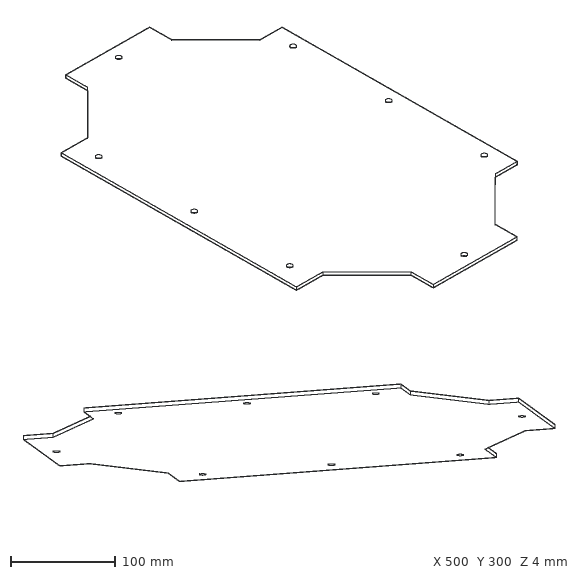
import cadquery as cq

length = 500.0
width = 300.0
thickness = 4.0

tab_depth = 30.0
front_tab_depth = 36.0
corner_leg = 60.0

hole_diameter = 6.5
hole_edge_distance = 15.0
hole_spacing = 130.0

half_length = length / 2
back = width / 2
front = -width / 2
end_shoulder = half_length - tab_depth
long_tab_half = end_shoulder - corner_leg
back_shoulder = back - tab_depth
front_shoulder = front + front_tab_depth
end_tab_back = back_shoulder - corner_leg
end_tab_front = front_shoulder + corner_leg

right_side = [
    (long_tab_half, front),
    (long_tab_half, front_shoulder),
    (end_shoulder, end_tab_front),
    (half_length, end_tab_front),
    (half_length, end_tab_back),
    (end_shoulder, end_tab_back),
    (long_tab_half, back_shoulder),
    (long_tab_half, back),
]
left_side = [(-x, y) for x, y in reversed(right_side)]

plate = cq.Workplane("XY").polyline(right_side + left_side).close().extrude(thickness)

back_hole_y = back - hole_edge_distance
front_hole_y = front_shoulder - tab_depth + hole_edge_distance
end_hole_x = half_length - hole_edge_distance
end_hole_y = (end_tab_back + end_tab_front) / 2

hole_points = [(-end_hole_x, end_hole_y), (end_hole_x, end_hole_y)]
for y in (front_hole_y, back_hole_y):
    for x in (-hole_spacing, 0, hole_spacing):
        hole_points.append((x, y))

holes = cq.Workplane("XY").pushPoints(hole_points).circle(hole_diameter / 2).extrude(thickness)

result = plate.cut(holes)